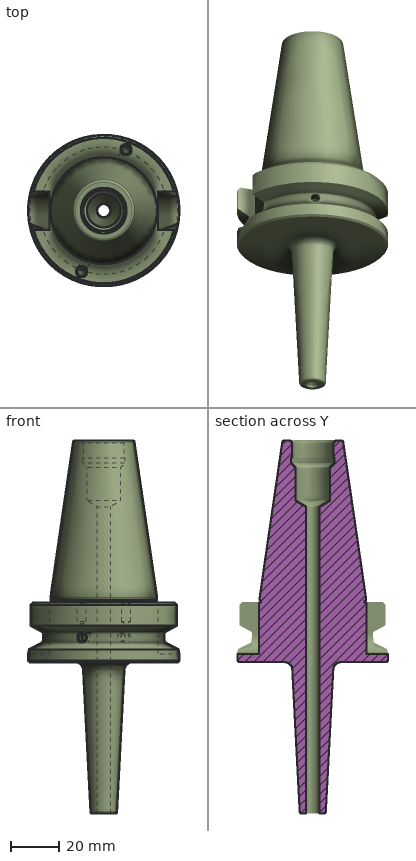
import cadquery as cq
import math


shank_length = 65.4
gauge_radius = 44.45 / 2
taper_slope = 7 / 24 / 2
shank_end_radius = gauge_radius - taper_slope * shank_length
shank_end_fillet = 1.0
collar_height = 1.0
neck_undercut = 0.5
neck_radius = gauge_radius - neck_undercut

flange_top = -2.0
flange_bottom = -27.0
flange_radius = 63.0 / 2
flange_top_chamfer = 1.2
flange_bottom_chamfer = 0.8
groove_center = -16.6
groove_core_radius = 53.0 / 2
groove_half_width = 2.1
groove_flank_angle = 30
groove_flank_rise = (flange_radius - groove_core_radius) * math.tan(math.radians(groove_flank_angle))
groove_corner_fillet = 0.5
groove_half_mouth = groove_half_width + groove_flank_rise

slot_width = 16.1
slot_flat_distance = 22.5
slot_bottom = -23.5

nose_tip = -90.0
nose_tip_radius = 5.5
nose_half_angle = 3
nose_tip_fillet = 1.0
nose_root_fillet = 3.0

bore_radius = 17.0 / 2
bore_depth = 7.2
relief_depth = 0.4
relief_radius = bore_radius + relief_depth
relief_width = 2.2
bore_mouth_chamfer = 1.0
thread_core_radius = 14.0 / 2
thread_depth = 25.0
drill_tip_half_angle = 59
through_radius = 5.5 / 2
through_chamfer = 0.35

coolant_hole_angles = (70, 250)
axial_hole_radius = 1.9
axial_hole_circle_radius = 27.0
axial_hole_depth = 8.0
radial_hole_radius = 1.8
radial_hole_depth = 5.0
coolant_hole_chamfer = 0.4


def make_body():
    """Revolve the outside of shank, flange and nose about Z."""
    nose_root = flange_bottom - nose_root_fillet
    nose_slope = math.tan(math.radians(nose_half_angle))
    nose_root_radius = nose_tip_radius + (nose_root - nose_tip) * nose_slope
    root_mid_offset = nose_root_fillet * (1 - math.sqrt(0.5))
    profile = (
        cq.Workplane("XZ")
        .moveTo(0, nose_tip)
        .lineTo(nose_tip_radius, nose_tip)
        .lineTo(nose_root_radius, nose_root)
        .threePointArc(
            (nose_root_radius + root_mid_offset, flange_bottom - root_mid_offset),
            (nose_root_radius + nose_root_fillet, flange_bottom),
        )
        .lineTo(flange_radius - flange_bottom_chamfer, flange_bottom)
        .lineTo(flange_radius, flange_bottom + flange_bottom_chamfer)
        .lineTo(flange_radius, groove_center - groove_half_mouth)
        .lineTo(groove_core_radius, groove_center - groove_half_width)
        .lineTo(groove_core_radius, groove_center + groove_half_width)
        .lineTo(flange_radius, groove_center + groove_half_mouth)
        .lineTo(flange_radius, flange_top - flange_top_chamfer)
        .lineTo(flange_radius - flange_top_chamfer, flange_top)
        .lineTo(neck_radius, flange_top)
        .lineTo(neck_radius, -collar_height - neck_undercut)
        .lineTo(gauge_radius, -collar_height)
        .lineTo(gauge_radius, 0)
        .lineTo(shank_end_radius, shank_length)
        .lineTo(0, shank_length)
        .close()
    )
    body = profile.revolve(360, (0, 0, 0), (0, 1, 0))
    groove_corners = cq.selectors.BoxSelector(
        (-flange_radius, -flange_radius, groove_center - groove_half_width - groove_corner_fillet),
        (flange_radius, flange_radius, groove_center + groove_half_width + groove_corner_fillet),
    )
    body = body.edges(groove_corners).edges("%CIRCLE").fillet(groove_corner_fillet)
    body = body.faces(">Z").edges().fillet(shank_end_fillet)
    return body.faces("<Z").edges().fillet(nose_tip_fillet)


def make_bore():
    """Revolve the stepped axial bore, from its chamfered mouth to the through hole, about Z."""
    bore_floor = shank_length - bore_depth
    relief_floor = bore_floor - relief_width
    thread_start = relief_floor - (relief_radius - thread_core_radius)
    thread_end = shank_length - thread_depth
    chamfer_radius = through_radius + through_chamfer
    drill_tip_length = (thread_core_radius - chamfer_radius) / math.tan(math.radians(drill_tip_half_angle))
    drill_tip_end = thread_end - drill_tip_length
    profile = (
        cq.Workplane("XZ")
        .moveTo(0, shank_length)
        .lineTo(bore_radius + bore_mouth_chamfer, shank_length)
        .lineTo(bore_radius, shank_length - bore_mouth_chamfer)
        .lineTo(bore_radius, bore_floor)
        .lineTo(relief_radius, bore_floor)
        .lineTo(relief_radius, relief_floor)
        .lineTo(thread_core_radius, thread_start)
        .lineTo(thread_core_radius, thread_end)
        .lineTo(chamfer_radius, drill_tip_end)
        .lineTo(through_radius, drill_tip_end - through_chamfer)
        .lineTo(through_radius, nose_tip)
        .lineTo(0, nose_tip)
        .close()
    )
    return profile.revolve(360, (0, 0, 0), (0, 1, 0))


def make_slot(side):
    """Round-bottomed driving slot, open upwards and outwards; side is +1 or -1 along X."""
    slot_radius = slot_width / 2
    slot_depth = flange_radius - slot_flat_distance
    profile = (
        cq.Workplane("YZ", origin=(side * slot_flat_distance, 0, 0))
        .moveTo(-slot_radius, flange_top)
        .lineTo(-slot_radius, slot_bottom + slot_radius)
        .threePointArc((0, slot_bottom), (slot_radius, slot_bottom + slot_radius))
        .lineTo(slot_radius, flange_top)
        .close()
    )
    return profile.extrude(side * slot_depth)


def make_drilled_hole(radius, depth, start, direction):
    """Blind hole with a chamfered mouth and a drill tip; depth is that of the cylinder."""
    tip_length = radius / math.tan(math.radians(drill_tip_half_angle))
    cylinder = cq.Solid.makeCylinder(radius, depth, start, direction)
    tip = cq.Solid.makeCone(radius, 0, tip_length, start + direction * depth, direction)
    chamfer = cq.Solid.makeCone(
        radius + coolant_hole_chamfer, radius, coolant_hole_chamfer, start, direction
    )
    return cylinder.fuse(tip, chamfer)


def make_coolant_holes(angle):
    """Axial and radial coolant holes at the given angle about Z."""
    outward = cq.Vector(math.cos(math.radians(angle)), math.sin(math.radians(angle)), 0)
    down = cq.Vector(0, 0, -1)
    axial_start = outward * axial_hole_circle_radius + cq.Vector(0, 0, flange_top)
    radial_start = outward * groove_core_radius + cq.Vector(0, 0, groove_center)
    axial_hole = make_drilled_hole(axial_hole_radius, axial_hole_depth, axial_start, down)
    radial_hole = make_drilled_hole(radial_hole_radius, radial_hole_depth, radial_start, outward * -1)
    return cq.Workplane(axial_hole).add(radial_hole).combine()


result = make_body().cut(make_bore())
for slot_side in (1, -1):
    result = result.cut(make_slot(slot_side))
for hole_angle in coolant_hole_angles:
    result = result.cut(make_coolant_holes(hole_angle))